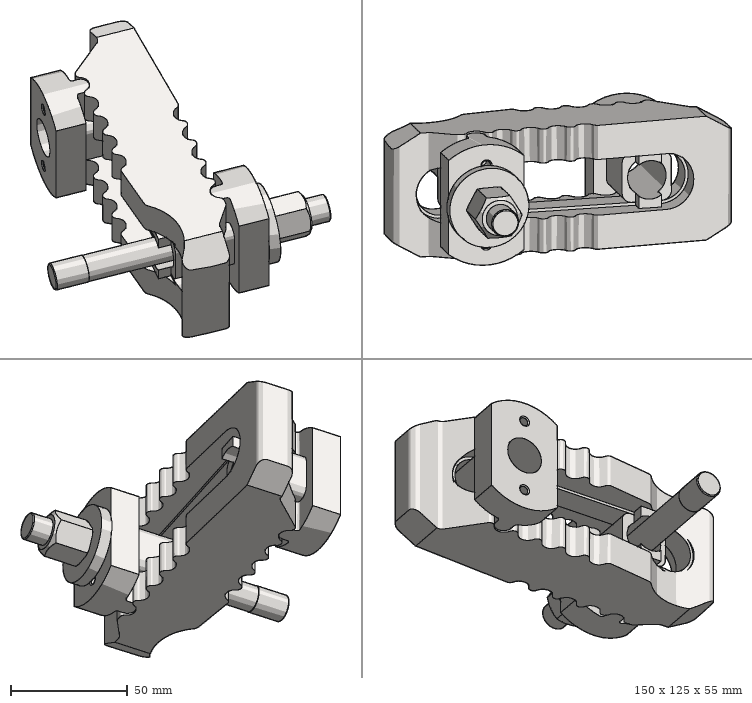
import cadquery as cq
import math


arm_length = 150.0
arm_width = 55.0
end_taper_length = 12.0
end_taper_angle = 30.0

tail_top = 10.6
tail_bottom = -6.5
tail_ramp_start_x = -61.5
tail_corner_radius = 3.6
armpit_slope = 47.0
armpit_radius = 3.2

nose_top = 7.0
nose_bottom = -13.8
nose_slant_start = -2.4
nose_tip_setback = 0.8
nose_corner_radius = 3.3
nose_heel_radius = 3.0

crest_end_x = 48.6
crest_foot_x = 58.8
crest_radius = 3.0

belly_slope = 8.0
belly_radius = 3.6
scoop_radius = 22.5
scoop_x = 56.4
scoop_apex = -9.3

teeth_top = 13.8
teeth_bottom = -22.4
tooth_depth = 4.0
groove_radius = 4.28
tooth_tip_radius = 2.18
groove_count = 5
groove_row_length = 48.3
upper_row_start_x = -8.4
lower_row_start_x = -39.0

slot_width = 22.0
slot_start_x = -45.0
slot_end_x = 52.5
recess_width = 24.8

pad_diameter = 53.5
pad_width = 33.5
pad_thickness = 13.6
pad_bore = 17.1
rib_height = 7.0
rib_width = 8.1
rib_base_radius = 1.4
neck_length = 26.8
neck_width = 21.9
neck_corner_radius = 4.2
lug_width = 10.0
lug_height = 5.7
pin_hole_diameter = 3.9
pin_hole_mouth_diameter = 5.0
pin_hole_depth = 7.5
pin_hole_tip_angle = 118.0
pin_hole_offset = 17.5

washer_diameter = 35.1
washer_thickness = 5.1
washer_bore = 12.8
nut_across_flats = 18.0
nut_height = 17.5
nut_turn = 2.0
nut_crown_diameter = 15.6
nut_crown_drop = 1.8
nut_foot_diameter = 19.2
nut_foot_drop = 0.5
stud_length = 125.0
thread_diameter = 12.0
shank_diameter = 11.7
foot_thread_length = 15.0
thread_chamfer = 0.5

half_length = arm_length / 2
groove_pitch = groove_row_length / (groove_count - 1)
stud_x = upper_row_start_x + groove_row_length
lower_pad_x = lower_row_start_x
upper_shoulder = teeth_top - tooth_depth + rib_height
lower_shoulder = teeth_bottom + tooth_depth - rib_height
lower_recess_floor = upper_shoulder - neck_length
upper_recess_floor = lower_shoulder + neck_length
washer_base = upper_shoulder + pad_thickness
nut_base = washer_base + washer_thickness
scoop_y = scoop_apex - scoop_radius


def toothed_edge(outline, first_groove_x, tip_y, direction):
    """Draw a tooth row from tip to tip; direction -1 is the same row turned half a turn."""
    centre_dx = groove_pitch / 2
    centre_dy = groove_radius + tooth_tip_radius - tooth_depth
    radius_sum = groove_radius + tooth_tip_radius
    flank = math.atan2(centre_dy, centre_dx) + math.acos(radius_sum / math.hypot(centre_dx, centre_dy))
    tip_mid = (flank + math.pi / 2) / 2

    def on_tip(angle):
        return (
            centre_dx - tooth_tip_radius * math.cos(angle),
            -tooth_tip_radius + tooth_tip_radius * math.sin(angle),
        )

    groove_edge = (
        groove_radius * math.cos(flank),
        groove_radius - tooth_depth - groove_radius * math.sin(flank),
    )

    for index in range(groove_count):
        groove_x = first_groove_x + direction * index * groove_pitch

        def place(u, v):
            return (groove_x + direction * u, tip_y + direction * v)

        def mirrored(point):
            return place(-point[0], point[1])

        outline = (
            outline.threePointArc(mirrored(on_tip(tip_mid)), mirrored(on_tip(flank)))
            .lineTo(*mirrored(groove_edge))
            .threePointArc(place(0, -tooth_depth), place(*groove_edge))
            .lineTo(*place(*on_tip(flank)))
            .threePointArc(place(*on_tip(tip_mid)), place(centre_dx, 0))
        )
    return outline


def round_edge(body, x, y, radius):
    """Fillet the edge along Z that passes through (x, y)."""
    return body.edges("|Z").edges(cq.selectors.NearestToPointSelector((x, y, 0))).fillet(radius)


def arm_slot(width, floor_y, top_y):
    """Round-ended slot of the arm between two heights along Y."""
    centre_x = (slot_start_x + slot_end_x) / 2
    length = slot_end_x - slot_start_x + width
    return (
        cq.Workplane("XZ", origin=(centre_x, floor_y, 0))
        .slot2D(length, width)
        .extrude(floor_y - top_y)
    )


def make_arm():
    half_pitch = groove_pitch / 2
    belly_start_x = lower_row_start_x + groove_row_length + half_pitch
    belly_rise = math.tan(math.radians(belly_slope))
    belly_end_y = teeth_bottom + (scoop_x - belly_start_x) * belly_rise
    slope_angle = math.radians(armpit_slope)
    slope_end_x = lower_row_start_x - half_pitch - tooth_tip_radius * math.sin(slope_angle)
    slope_end_y = teeth_bottom + tooth_tip_radius * (1 - math.cos(slope_angle))
    armpit_x = slope_end_x - (tail_bottom - slope_end_y) / math.tan(slope_angle)

    outline = (
        cq.Workplane("XY", origin=(0, 0, -arm_width / 2))
        .moveTo(-half_length, tail_bottom)
        .lineTo(-half_length, tail_top)
        .lineTo(tail_ramp_start_x, tail_top)
        .lineTo(upper_row_start_x - half_pitch, teeth_top)
    )
    outline = toothed_edge(outline, upper_row_start_x, teeth_top, 1)
    outline = (
        outline.lineTo(crest_end_x, teeth_top)
        .lineTo(crest_foot_x, nose_top)
        .lineTo(half_length, nose_top)
        .lineTo(half_length, nose_slant_start)
        .lineTo(half_length - nose_tip_setback, nose_bottom)
        .lineTo(scoop_x, nose_bottom)
        .lineTo(scoop_x, belly_end_y)
        .lineTo(belly_start_x, teeth_bottom)
    )
    outline = toothed_edge(outline, lower_row_start_x + groove_row_length, teeth_bottom, -1)
    first_tip_mid = (
        lower_row_start_x - half_pitch - tooth_tip_radius * math.sin(slope_angle / 2),
        teeth_bottom + tooth_tip_radius * (1 - math.cos(slope_angle / 2)),
    )
    body = (
        outline.threePointArc(first_tip_mid, (slope_end_x, slope_end_y))
        .lineTo(armpit_x, tail_bottom)
        .close()
        .extrude(arm_width)
    )

    scoop = (
        cq.Workplane("XY", origin=(scoop_x, scoop_y, -arm_width / 2))
        .circle(scoop_radius)
        .extrude(arm_width)
    )
    body = body.cut(scoop)

    slope = math.radians(belly_slope)
    gap_y = belly_end_y - scoop_y
    along = math.sqrt(scoop_radius**2 - (gap_y * math.cos(slope)) ** 2) + gap_y * math.sin(slope)
    scoop_start = (scoop_x - along * math.cos(slope), belly_end_y - along * math.sin(slope))
    scoop_end_x = scoop_x + math.sqrt(scoop_radius**2 - (nose_bottom - scoop_y) ** 2)

    for x, y, radius in (
        (-half_length, tail_bottom, tail_corner_radius),
        (-half_length, tail_top, tail_corner_radius),
        (armpit_x, tail_bottom, armpit_radius),
        (crest_end_x, teeth_top, crest_radius),
        (crest_foot_x, nose_top, crest_radius),
        (half_length, nose_top, nose_corner_radius),
        (half_length - nose_tip_setback, nose_bottom, nose_corner_radius),
        (scoop_end_x, nose_bottom, nose_heel_radius),
        (*scoop_start, belly_radius),
    ):
        body = round_edge(body, x, y, radius)

    taper_drop = end_taper_length * math.tan(math.radians(end_taper_angle))
    taper_x = half_length - end_taper_length
    end_z = arm_width / 2 - taper_drop
    plan = (
        cq.Workplane("XZ")
        .polyline([
            (-half_length, -end_z),
            (-taper_x, -arm_width / 2),
            (taper_x, -arm_width / 2),
            (half_length, -end_z),
            (half_length, end_z),
            (taper_x, arm_width / 2),
            (-taper_x, arm_width / 2),
            (-half_length, end_z),
        ])
        .close()
        .extrude(half_length, both=True)
    )
    body = body.intersect(plan)

    body = body.cut(arm_slot(slot_width, teeth_bottom, teeth_top))
    body = body.cut(arm_slot(recess_width, teeth_bottom, lower_recess_floor))
    return body.cut(arm_slot(recess_width, upper_recess_floor, teeth_top))


def y_cylinder(diameter, start_y, end_y):
    return cq.Workplane("XZ", origin=(0, start_y, 0)).circle(diameter / 2).extrude(start_y - end_y)


def make_pin_hole():
    """Blind drilled hole with a countersunk mouth, open at the outer face of the pad."""
    radius = pin_hole_diameter / 2
    mouth_radius = pin_hole_mouth_diameter / 2
    bottom_y = pad_thickness - pin_hole_depth
    tip_length = radius / math.tan(math.radians(pin_hole_tip_angle / 2))
    return (
        cq.Workplane("XY")
        .polyline([
            (0, pad_thickness),
            (mouth_radius, pad_thickness),
            (radius, pad_thickness - (mouth_radius - radius)),
            (radius, bottom_y),
            (0, bottom_y - tip_length),
        ])
        .close()
        .revolve(360, (0, 0, 0), (0, 1, 0))
    )


def make_pad():
    """Pad with its shoulder at y = 0, its plate above and its rib, neck and lugs below."""
    half_rib = rib_width / 2
    half_pad = pad_width / 2
    cap_start = -rib_height + groove_radius - math.sqrt(groove_radius**2 - half_rib**2)
    base_edge = half_rib + rib_base_radius
    plate_and_rib = (
        cq.Workplane("XY", origin=(0, 0, -pad_diameter / 2))
        .moveTo(-half_pad, pad_thickness)
        .lineTo(-half_pad, 0)
        .lineTo(-base_edge, 0)
        .radiusArc((-half_rib, -rib_base_radius), rib_base_radius)
        .lineTo(-half_rib, cap_start)
        .threePointArc((0, -rib_height), (half_rib, cap_start))
        .lineTo(half_rib, -rib_base_radius)
        .radiusArc((base_edge, 0), rib_base_radius)
        .lineTo(half_pad, 0)
        .lineTo(half_pad, pad_thickness)
        .close()
        .extrude(pad_diameter)
        .intersect(y_cylinder(pad_diameter, -rib_height, pad_thickness))
    )
    neck = (
        cq.Workplane("XY")
        .box(neck_width, neck_length, neck_width, centered=(True, False, True))
        .edges("|Y")
        .fillet(neck_corner_radius)
        .translate((0, -neck_length, 0))
    )
    lug_end = -neck_length - lug_height
    lugs = (
        cq.Workplane("XY")
        .box(lug_width, lug_height, recess_width, centered=(True, False, True))
        .translate((0, lug_end, 0))
    )
    pad = plate_and_rib.union(neck).union(lugs).cut(y_cylinder(pad_bore, lug_end, pad_thickness))
    for side in (-1, 1):
        pad = pad.cut(make_pin_hole().translate((0, 0, side * pin_hole_offset)))
    return pad


def make_washer():
    ring = y_cylinder(washer_diameter, washer_base, nut_base)
    return ring.cut(y_cylinder(washer_bore, washer_base, nut_base)).translate((stud_x, 0, 0))


def make_nut():
    corner_radius = nut_across_flats / math.sqrt(3)
    nut_top = nut_base + nut_height
    prism = (
        cq.Workplane("XZ", origin=(0, nut_base, 0))
        .polygon(6, 2 * corner_radius)
        .extrude(-nut_height)
        .rotate((0, 0, 0), (0, 1, 0), nut_turn)
    )
    turned_blank = (
        cq.Workplane("XY")
        .polyline([
            (0, nut_base),
            (nut_foot_diameter / 2, nut_base),
            (corner_radius, nut_base + nut_foot_drop),
            (corner_radius, nut_top - nut_crown_drop),
            (nut_crown_diameter / 2, nut_top),
            (0, nut_top),
        ])
        .close()
        .revolve(360, (0, 0, 0), (0, 1, 0))
    )
    bore = y_cylinder(thread_diameter, nut_base, nut_top)
    return prism.intersect(turned_blank).cut(bore).translate((stud_x, 0, 0))


def make_stud():
    """Stud with a plain shank between its two threaded ends."""
    stud_end = stud_length / 2
    thread_radius = thread_diameter / 2
    shank_radius = shank_diameter / 2
    foot_thread_end = foot_thread_length - stud_end
    shoulder = thread_radius - shank_radius
    return (
        cq.Workplane("XY")
        .polyline([
            (0, -stud_end),
            (thread_radius - thread_chamfer, -stud_end),
            (thread_radius, thread_chamfer - stud_end),
            (thread_radius, foot_thread_end - shoulder),
            (shank_radius, foot_thread_end),
            (shank_radius, washer_base - shoulder),
            (thread_radius, washer_base),
            (thread_radius, stud_end - thread_chamfer),
            (thread_radius - thread_chamfer, stud_end),
            (0, stud_end),
        ])
        .close()
        .revolve(360, (0, 0, 0), (0, 1, 0))
        .translate((stud_x, 0, 0))
    )


arm = make_arm()
washer = make_washer()
nut = make_nut()
stud = make_stud()

pads = []
for pad_x, shoulder_y, turn in ((stud_x, upper_shoulder, 0), (lower_pad_x, lower_shoulder, 180)):
    pad = make_pad().rotate((0, 0, 0), (0, 0, 1), turn)
    pads.append(pad.translate((pad_x, shoulder_y, 0)).val())

result = cq.Compound.makeCompound([arm.val(), *pads, washer.val(), nut.val(), stud.val()])